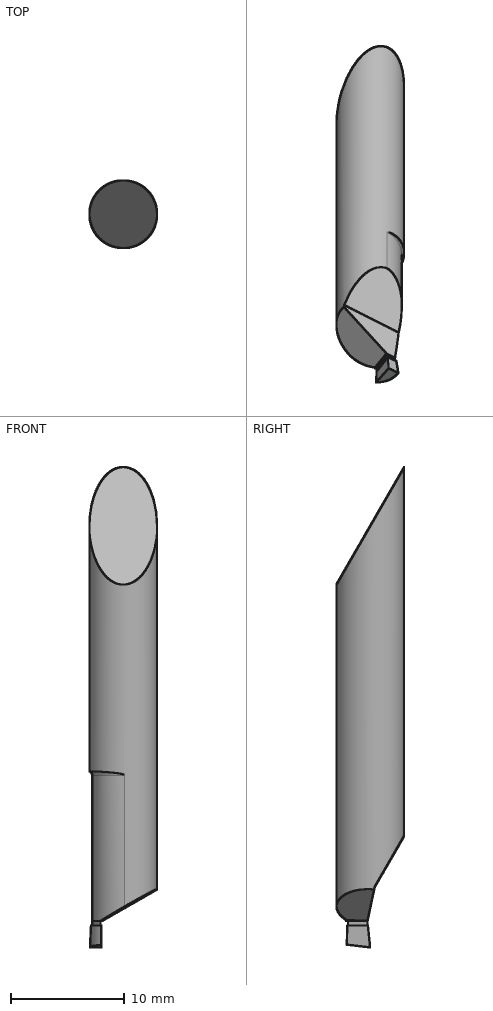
import math

import cadquery as cq


length = 42.44
radius = 3.0
end_slope = math.tan(math.radians(60))
under_slope = math.tan(math.radians(30))
under_start_x = -1.85
under_tilt = 2.5
margin = 1.0

neck_shift = 0.25
neck_top = 15.2
neck_fillet = 0.4
seam_x = neck_shift / 2

seat_z = 2.35
gash_knee_y = 0.4
gash_knee_z = 5.35

rake = 0.1
tip_head_z = 1.95
tip_root_back_x = -2.0
tip_back_x = -1.93
tip_edge_x = -2.95
tip_clearance = 0.07
tip_land_y = -0.43
tip_land_drop = 0.04
tip_heel_y = -2.1
tip_end_relief = 0.12

reach = radius + margin


def prism(plane, points):
    """Extrude a closed outline across the whole bar."""
    return cq.Workplane(plane).polyline(points).close().extrude(reach, both=True)


def rake_y(z):
    return -rake * z


def top_slant():
    """Material above the slanted upper end, highest at +Y."""
    low = length - end_slope * (radius + reach)
    high = length + end_slope * margin
    return prism("YZ", [(-reach, low), (reach, high), (-reach, high)])


def seat():
    """Material below the flat seat of the tip."""
    return prism("XZ", [(-reach, seat_z), (reach, seat_z), (reach, -margin), (-reach, -margin)])


def underside():
    """Material below the underside, which rises toward +X and leans up toward -Y."""
    high = seat_z + under_slope * (reach - under_start_x)
    points = [(under_start_x, seat_z), (reach, high), (reach, -margin), (under_start_x, -margin)]
    wedge = prism("XZ", points)
    return wedge.rotate((0, 0, seat_z), (1, 0, seat_z), -under_tilt)


def chip_gash():
    """Material on the +Y side of the steep rake wall and the 60 degree run-out."""
    high = gash_knee_z + end_slope * (reach - gash_knee_y)
    points = [
        (rake_y(seat_z), -margin),
        (rake_y(seat_z), seat_z),
        (gash_knee_y, gash_knee_z),
        (reach, high),
        (reach, -margin),
    ]
    return prism("YZ", points)


def neck_relief():
    """Ring around the neck cylinder on the -X side, flaring out at its top."""
    outer = radius + neck_fillet
    sag = neck_fillet * math.sqrt(0.5)
    ring = (
        cq.Workplane("XZ")
        .moveTo(radius, 0)
        .lineTo(radius, neck_top)
        .threePointArc(
            (outer - sag, neck_top + sag),
            (outer, neck_top + neck_fillet),
        )
        .lineTo(outer, 0)
        .close()
        .revolve(360, (0, 0, 0), (0, 1, 0))
        .translate((neck_shift, 0, 0))
    )
    left_half = cq.Workplane("XY").box(reach, 2 * reach, length, centered=(False, True, False))
    return ring.intersect(left_half.translate((seam_x - reach, 0, 0)))


def make_shank():
    bar = cq.Workplane("XY").circle(radius).extrude(length)
    for removed in (neck_relief(), top_slant(), seat(), underside(), chip_gash()):
        bar = bar.cut(removed)
    return bar


def tip_root():
    """Short stem that continues the neck cylinder below the seat."""
    height = seat_z - tip_head_z
    stem = cq.Workplane("XY", origin=(neck_shift, 0, tip_head_z)).circle(radius).extrude(height)
    depth = radius + rake_y(seat_z)
    width = tip_root_back_x + radius
    bounds = cq.Workplane("XY").box(width, depth, height, centered=False)
    return stem.intersect(bounds.translate((-radius, -radius, tip_head_z)))


def head_section(work, inset):
    """Outline of the head: a flat land behind the cutting edge, then a curved flank to the heel."""
    edge_x = tip_edge_x + inset
    heel_y = tip_heel_y + inset
    land = (edge_x + tip_land_drop, tip_land_y)
    heel = (tip_back_x, heel_y)
    mid_y = (tip_land_y + heel_y) / 2
    mid_x = edge_x + radius - math.sqrt(radius**2 - mid_y**2)
    return (
        work.moveTo(edge_x, 0)
        .lineTo(*land)
        .threePointArc((mid_x, mid_y), heel)
        .lineTo(tip_back_x, 0)
        .close()
    )


def tip_head():
    head = head_section(cq.Workplane("XY"), 0)
    head = head_section(head.workplane(offset=tip_head_z), tip_clearance)
    head = head.loft(ruled=True)
    above_rake = prism("YZ", [(0, 0), (rake_y(seat_z), seat_z), (reach, seat_z), (reach, 0)])
    below_end = prism("YZ", [(0, 0), (-reach, tip_end_relief * reach), (-reach, -margin), (0, -margin)])
    return head.cut(above_rake).cut(below_end)


shank = make_shank()
tip = tip_root().union(tip_head())

result = cq.Compound.makeCompound([shank.val(), tip.val()])